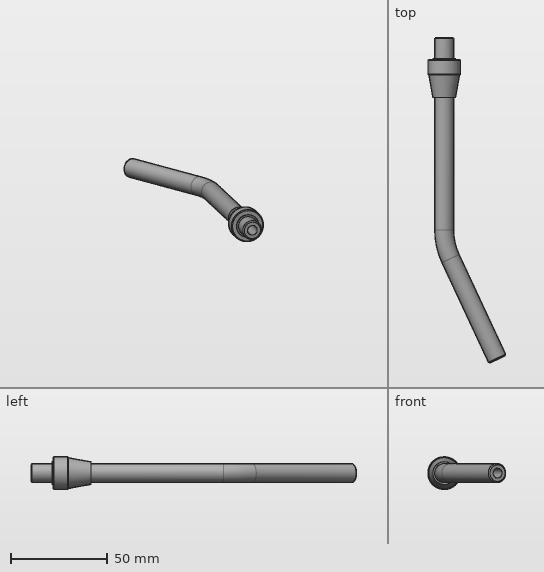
import cadquery as cq
import math

tube_radius = 4.99
bore_radius = 2.5
straight_length = 100.1
bend_radius = 35.0
bend_angle = 25.0
overall_length = 169.2
inlet_chamfer = 0.7
outlet_chamfer = 0.7

collar_radius = 8.55
collar_chamfer = 0.5
washer_face_start = 11.0
washer_face_height = 0.5
collar_start = washer_face_start + washer_face_height
cone_start = 19.6
cone_end = 31.3
cone_large_radius = collar_radius - collar_chamfer
cone_small_radius = 6.0
washer_face_radius = cone_small_radius

angle = math.radians(bend_angle)
bend_start = (0, -straight_length)


def bend_point(turn):
    """Point on the bend centreline after turning by the given angle."""
    x = bend_radius * (1 - math.cos(turn))
    y = -straight_length - bend_radius * math.sin(turn)
    return (x, y)


bend_middle = bend_point(angle / 2)
bend_end = bend_point(angle)

outlet_face_radius = tube_radius - outlet_chamfer
outlet_drop = outlet_face_radius * math.sin(angle)
angled_length = (overall_length + bend_end[1] - outlet_drop) / math.cos(angle)
outlet = (
    bend_end[0] + angled_length * math.sin(angle),
    bend_end[1] - angled_length * math.cos(angle),
)


def sweep_along_tube(radius):
    """Round bar following the tube centreline."""
    path = (
        cq.Workplane("XY")
        .lineTo(*bend_start)
        .threePointArc(bend_middle, bend_end)
        .lineTo(*outlet)
    )
    return cq.Workplane("XZ").circle(radius).sweep(path)


def make_collar():
    """Chamfered collar with a raised washer face in front and a tapered tail."""
    return (
        cq.Workplane("XY")
        .moveTo(0, -washer_face_start)
        .lineTo(washer_face_radius, -washer_face_start)
        .lineTo(washer_face_radius, -collar_start)
        .lineTo(collar_radius - collar_chamfer, -collar_start)
        .lineTo(collar_radius, -collar_start - collar_chamfer)
        .lineTo(collar_radius, -cone_start + collar_chamfer)
        .lineTo(cone_large_radius, -cone_start)
        .lineTo(cone_small_radius, -cone_end)
        .lineTo(0, -cone_end)
        .close()
        .revolve(360, (0, 0), (0, 1))
    )


tube = sweep_along_tube(tube_radius)
tube = tube.faces(">Y").chamfer(inlet_chamfer)
outlet_face = cq.selectors.NearestToPointSelector((*outlet, 0))
tube = tube.faces(outlet_face).chamfer(outlet_chamfer)

result = tube.union(make_collar()).cut(sweep_along_tube(bore_radius))